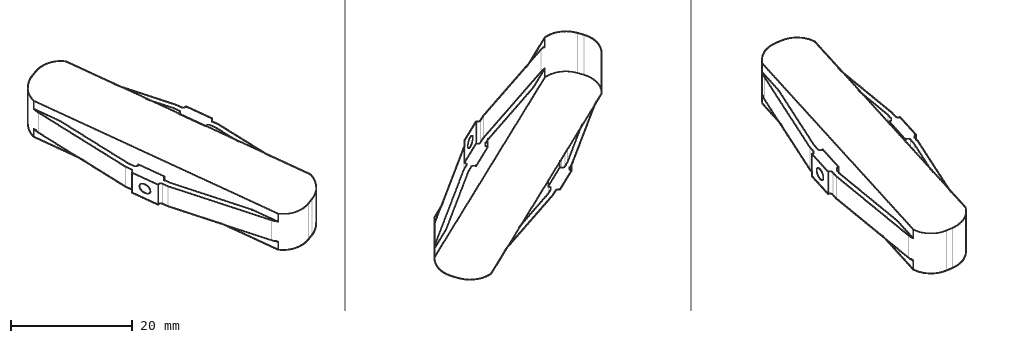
import cadquery as cq
import math

length = 53.25
core_width = 10.1
height = 9.0
end_radius = 4.85
end_flat = 1.1

overall_width = 17.0
arm_height = 5.0
arm_thickness = 0.85
arm_slope = math.radians(8)
arm_end_x = 4.1
pad_length = 5.05
pad_thickness = 2.1
neck_fillet = 0.5
hole_diameter = 2.15

half_length = length / 2
half_flat = end_flat / 2
arc_center_x = half_length - end_radius
pad_outer_y = overall_width / 2
pad_inner_y = pad_outer_y - pad_thickness
pad_end_x = pad_length / 2

tangent_x = arc_center_x + end_radius * math.sin(arm_slope)
tangent_y = half_flat + end_radius * math.cos(arm_slope)
neck_outer_y = tangent_y + (tangent_x - arm_end_x) * math.tan(arm_slope)
neck_inner_y = neck_outer_y - arm_thickness


def make_core():
    """Bar with rounded ends, cut flat along both long sides."""
    blank_width = end_flat + 2 * end_radius
    blank = cq.Workplane("XY").box(length, blank_width, height).edges("|Z").fillet(end_radius)
    return blank.intersect(cq.Workplane("XY").box(length, core_width, height))


def make_arm_half():
    """Right-hand half of the +Y arm, from the end arc to the edge of the pad."""
    mid_angle = (math.pi / 2 - arm_slope) / 2
    arc_middle = (
        arc_center_x + end_radius * math.cos(mid_angle),
        half_flat + end_radius * math.sin(mid_angle),
    )
    inner_root_y = tangent_y - arm_thickness
    fillet_start_x = pad_end_x + neck_fillet
    bend = neck_fillet * (1 - math.sqrt(0.5))
    outline = (
        cq.Workplane("XY")
        .moveTo(half_length, half_flat)
        .threePointArc(arc_middle, (tangent_x, tangent_y))
        .lineTo(arm_end_x, neck_outer_y)
        .lineTo(fillet_start_x, neck_outer_y)
        .threePointArc(
            (pad_end_x + bend, neck_outer_y + bend),
            (pad_end_x, neck_outer_y + neck_fillet),
        )
        .lineTo(pad_end_x, neck_inner_y - neck_fillet)
        .threePointArc(
            (pad_end_x + bend, neck_inner_y - bend),
            (fillet_start_x, neck_inner_y),
        )
        .lineTo(arm_end_x, neck_inner_y)
        .lineTo(tangent_x, inner_root_y)
        .lineTo(arc_center_x, half_flat)
        .close()
    )
    return outline.extrude(arm_height / 2, both=True)


def make_pad():
    """Central block of the +Y arm with a hole through its thickness."""
    pad = cq.Workplane("XY").box(pad_length, pad_thickness, arm_height)
    pad = pad.faces(">Y").workplane().hole(hole_diameter)
    return pad.translate((0, (pad_outer_y + pad_inner_y) / 2, 0))


arm_half = make_arm_half()
arm = make_pad().union(arm_half).union(arm_half.mirror("YZ"))
result = make_core().union(arm).union(arm.mirror("XZ"))